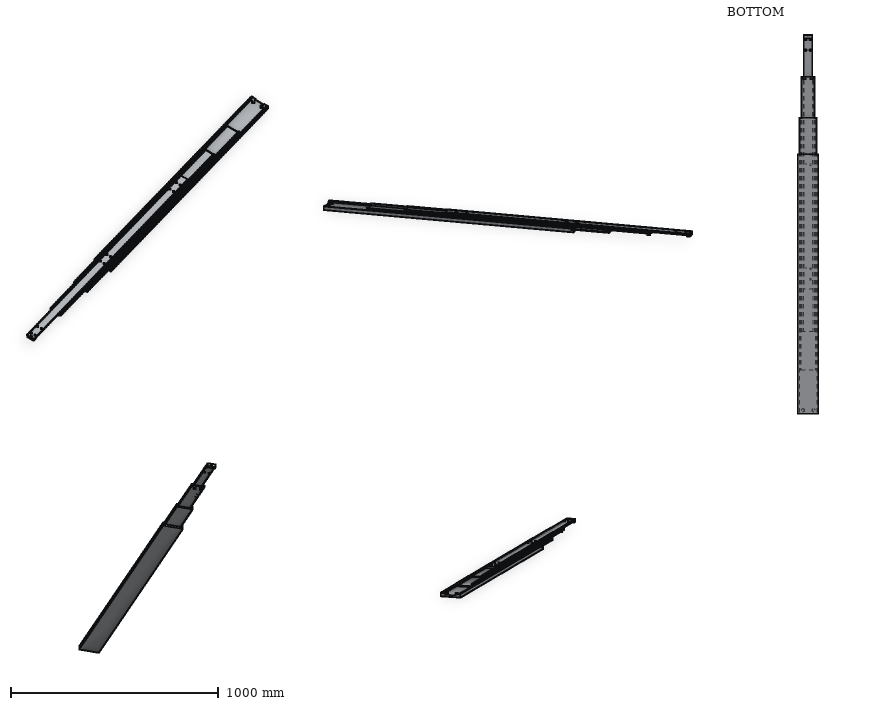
import cadquery as cq


TOTAL_LENGTH = 1823.0
TOTAL_HEIGHT = 36.0
REAR_Y = TOTAL_LENGTH / 2
FRONT_Y = -TOTAL_LENGTH / 2
BASE_Z = -TOTAL_HEIGHT / 2

OUTER_WIDTH = 100.0
SIDE_GAP = 2.0
OUTER_WALL = 7.0
SECOND_WALL = 7.0
THIRD_WALL = 10.0
SECOND_WIDTH = OUTER_WIDTH - 2 * (OUTER_WALL + SIDE_GAP)
THIRD_WIDTH = SECOND_WIDTH - 2 * (SECOND_WALL + SIDE_GAP)
INNER_WIDTH = THIRD_WIDTH - 2 * (THIRD_WALL + SIDE_GAP)

TOP_STEP = 5.0
INNER_TOP = TOTAL_HEIGHT / 2
THIRD_TOP = INNER_TOP - TOP_STEP
SECOND_TOP = THIRD_TOP - TOP_STEP
OUTER_TOP = 0.0
FLOOR = 5.0
OUTER_FLOOR = 10.0
SECOND_BOTTOM = BASE_Z + OUTER_FLOOR
THIRD_BOTTOM = 2.7
INNER_BOTTOM = THIRD_BOTTOM + FLOOR
FOOT_INSET = 1.0

OUTER_FRONT = -337.0
SECOND_REAR = 700.0
SECOND_FRONT = -512.0
THIRD_REAR = 514.0
THIRD_FRONT = -711.0
INNER_REAR = 310.0

STOP_DEPTH = 18.0
STOP_HEIGHT = 7.0
STOP_NOSE_RADIUS = 7.0
STOP_NOSE_X = 25.0

SIDE_HOLE_DIAMETER = 5.0
OUTER_HOLE_SETBACK = 10.0
OUTER_HOLE_Z = -4.5
SECOND_HOLE_SETBACK = 13.0
SECOND_HOLE_Z = 2.0

BUMPER_RADIUS = 6.7
BUMPER_HEIGHT = 11.0
BUMPER_X = 16.0

FRONT_STOP_DEPTH = 16.0
FRONT_STOP_DROP = 5.0
NOTCH_WIDTH = 7.0
NOTCH_DEPTH = 10.0
NOTCH_HEIGHT = 5.0
SCREW_DIAMETER = 7.0
SCREW_X = 11.0
SCREW_REAR_MARGIN = 47.0
SCREW_PAIR_SPACING = 51.0
SCREW_GROUP_PITCH = 550.0
SCREW_GROUPS = 3


def block(x_range, y_range, z_range):
    """Box between the given low and high limits."""
    sizes = [high - low for low, high in (x_range, y_range, z_range)]
    corner = (x_range[0], y_range[0], z_range[0])
    return cq.Workplane("XY").box(*sizes, centered=False).translate(corner)


def centred_block(width, y_range, z_range):
    """Box that is symmetric about the YZ plane."""
    return block((-width / 2, width / 2), y_range, z_range)


def footed_bar(width, y_range, bottom, top):
    """Bar whose lowest part is a slightly narrower foot."""
    foot_top = bottom + FLOOR
    bar = centred_block(width, y_range, (foot_top, top))
    foot = centred_block(width - 2 * FOOT_INSET, y_range, (bottom, foot_top))
    return bar.union(foot)


def footed_channel(width, wall, y_range, bottom, top):
    """Footed bar with an open-topped channel along its whole length."""
    channel = centred_block(width - 2 * wall, y_range, (bottom + FLOOR, top))
    return footed_bar(width, y_range, bottom, top).cut(channel)


def cross_hole(width, y, z):
    """Cutter for a round hole through both side walls."""
    cutter = cq.Workplane("YZ").center(y, z).circle(SIDE_HOLE_DIAMETER / 2)
    return cutter.extrude(width / 2, both=True)


def rear_stop(side):
    """Stop with a round nose, standing on the outer floor against one wall."""
    wall_x = OUTER_WIDTH / 2 - OUTER_WALL
    x_range = sorted((side * STOP_NOSE_X, side * wall_x))
    stop_front = REAR_Y - STOP_DEPTH
    stop = block(x_range, (stop_front, REAR_Y), (SECOND_BOTTOM, SECOND_BOTTOM + STOP_HEIGHT))
    nose = (
        cq.Workplane("XY", origin=(side * STOP_NOSE_X, stop_front, SECOND_BOTTOM))
        .circle(STOP_NOSE_RADIUS)
        .extrude(STOP_HEIGHT)
    )
    return stop.union(nose)


def make_outer_rail():
    """Wide channel with two stops at the rear."""
    y_range = (OUTER_FRONT, REAR_Y)
    rail = centred_block(OUTER_WIDTH, y_range, (BASE_Z, OUTER_TOP))
    channel = centred_block(OUTER_WIDTH - 2 * OUTER_WALL, y_range, (SECOND_BOTTOM, OUTER_TOP))
    rail = rail.cut(channel)
    rail = rail.cut(cross_hole(OUTER_WIDTH, OUTER_FRONT + OUTER_HOLE_SETBACK, OUTER_HOLE_Z))
    for side in (-1, 1):
        rail = rail.union(rear_stop(side))
    return rail


def make_second_rail():
    """Channel that slides on the floor of the outer rail."""
    y_range = (SECOND_FRONT, SECOND_REAR)
    rail = footed_channel(SECOND_WIDTH, SECOND_WALL, y_range, SECOND_BOTTOM, SECOND_TOP)
    return rail.cut(cross_hole(SECOND_WIDTH, SECOND_FRONT + SECOND_HOLE_SETBACK, SECOND_HOLE_Z))


def make_third_rail():
    """Channel with two round bumpers under its front end."""
    y_range = (THIRD_FRONT, THIRD_REAR)
    rail = footed_channel(THIRD_WIDTH, THIRD_WALL, y_range, THIRD_BOTTOM, THIRD_TOP)
    for side in (-1, 1):
        bumper = (
            cq.Workplane("XY", origin=(side * BUMPER_X, THIRD_FRONT + BUMPER_RADIUS, THIRD_BOTTOM))
            .circle(BUMPER_RADIUS)
            .extrude(-BUMPER_HEIGHT)
        )
        rail = rail.union(bumper)
    return rail


def make_inner_rail():
    """Bar with three groups of four screw holes and a notched stop at the front."""
    rail = footed_bar(INNER_WIDTH, (FRONT_Y, INNER_REAR), INNER_BOTTOM, INNER_TOP)
    stop_bottom = INNER_BOTTOM - FRONT_STOP_DROP
    stop_range = (FRONT_Y, FRONT_Y + FRONT_STOP_DEPTH)
    foot_width = INNER_WIDTH - 2 * FOOT_INSET
    rail = rail.union(centred_block(foot_width, stop_range, (stop_bottom, INNER_BOTTOM)))

    notch_range = (FRONT_Y, FRONT_Y + NOTCH_DEPTH)
    rail = rail.cut(centred_block(NOTCH_WIDTH, notch_range, (INNER_TOP - NOTCH_HEIGHT, INNER_TOP)))

    first_row = INNER_REAR - SCREW_REAR_MARGIN
    screw_points = [
        (side * SCREW_X, first_row - group * SCREW_GROUP_PITCH - row * SCREW_PAIR_SPACING)
        for group in range(SCREW_GROUPS)
        for row in range(2)
        for side in (-1, 1)
    ]
    screw_holes = (
        cq.Workplane("XY", origin=(0, 0, stop_bottom))
        .pushPoints(screw_points)
        .circle(SCREW_DIAMETER / 2)
        .extrude(INNER_TOP - stop_bottom)
    )
    return rail.cut(screw_holes)


outer_rail = make_outer_rail()
second_rail = make_second_rail()
third_rail = make_third_rail()
inner_rail = make_inner_rail()

result = cq.Compound.makeCompound(
    [outer_rail.val(), second_rail.val(), third_rail.val(), inner_rail.val()]
)